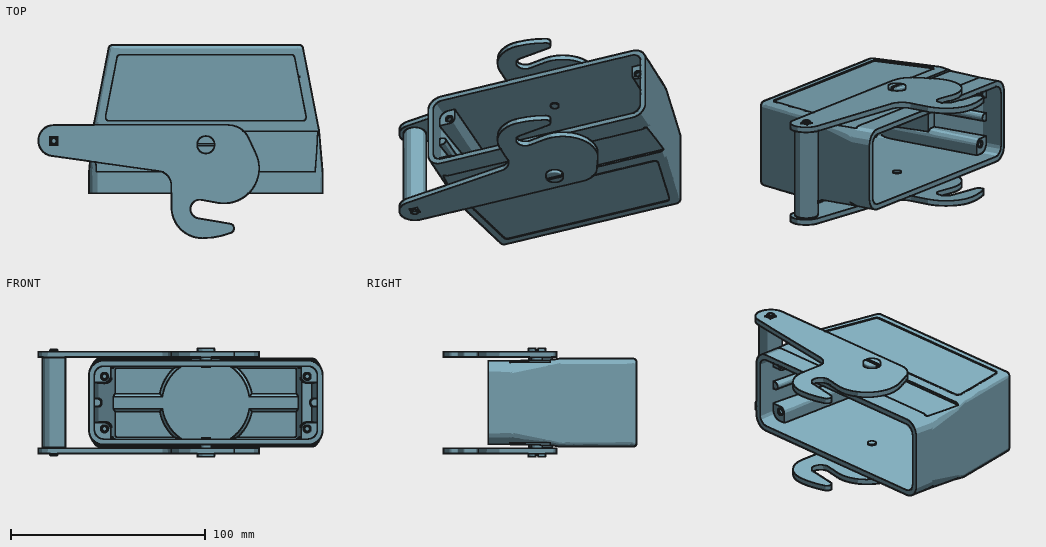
import cadquery as cq
import math


SKIRT_HALF_X = 60.0
SKIRT_HALF_Z = 21.5
SKIRT_CORNER = 7.2
SKIRT_TOP_Y = 11.2
NECK_Y = 32.0
NECK_HALF_X = 58.2
NECK_HALF_Z = 21.85
NECK_CORNER = 3.3
SHOULDER_Y = 36.8
BODY_HALF_Z = 22.65
BODY_CORNER = 2.75
HOOD_HEIGHT = 76.25
END_HALF_X = 49.6
END_FILLET = 2.0
END_WALL_SLOPE = (NECK_HALF_X - END_HALF_X) / (HOOD_HEIGHT - NECK_Y)
SHOULDER_HALF_X = NECK_HALF_X - END_WALL_SLOPE * (SHOULDER_Y - NECK_Y)

RELIEF_TOP_Y = NECK_Y
RELIEF_HALF_Z = 20.7
PAD_WIDTH = 15.0
PAD_BOTTOM_Y = 11.6
PAD_CORNER = 1.7

PANEL_BOTTOM_Y = 37.2
PANEL_TOP_Y = 71.3
PANEL_BOTTOM_HALF_X = 51.9
PANEL_TOP_HALF_X = 45.3
PANEL_CORNER = 2.0
PANEL_DEPTH = 0.5

CAVITY_HALF_X = 57.2
CAVITY_HALF_Z = 18.7
CAVITY_CORNER = 4.8
CAVITY_SHOULDER_HALF_X = 55.0
CAVITY_SHOULDER_CORNER = 3.0
FLOOR_Y = 71.0
FLOOR_HALF_X = 47.5
FLOOR_CORNER = 1.0

RECESS_DEPTH = 2.0
RECESS_HALF_X = 46.5
RECESS_HALF_Z = 17.75
DISC_AND_BAR_DRAFT = 1.6
DISC_RADIUS = 24.1
BAR_WIDTH = 9.3

INNER_END_Y = FLOOR_Y + RECESS_DEPTH
INNER_DRAFT_ANGLE = 0.8

POST_FACE_Y = 9.3
POST_HOLE_X = 52.0
POST_HOLE_Z = 13.45
POST_RADIUS = 3.1
POST_HOLE_DIAMETER = 2.6
POST_HOLE_DEPTH = 12.0
POST_COUNTERSINK_DIAMETER = 3.9
COUNTERSINK_ANGLE = 90.0
RIB_X = 55.8
RIB_RADIUS = 2.0

LEDGE_Y = 40.0
LEDGE_INNER_X = 49.2
LEDGE_DRAFT_ANGLE = 2.0

PIVOT_Y = 25.0
LEVER_INNER_Z = 23.35
LEVER_OUTER_Z = 26.15
HANDLE_X = -78.0
HANDLE_Y = 27.15
HANDLE_RADIUS = 8.0
CAM_X = 9.3
CAM_Y = 12.9
CAM_RADIUS = 18.05
LEVER_SHOULDER_RADIUS = 11.5
LEVER_SHOULDER_X = 11.5
HOOK_EDGE_X = -17.7
ELBOW_RADIUS = 7.5
ELBOW_Y = 4.1
HOOK_BOTTOM_Y = -23.0
HOOK_HEEL_RADIUS = 16.0
HOOK_SOLE_RADIUS = 40.0
TIP_RADIUS = 2.5
TIP_X = 12.0
SLOT_X = -3.1
SLOT_Y = -8.0
SLOT_RADIUS = 4.75

ROLLER_RADIUS = 6.0
ROLLER_CHAMFER = 0.4
PEG_Y = 26.95
PEG_DIAMETER = 4.0
PEG_END_Z = 27.4
PEG_CHAMFER = 0.6
PEG_SOCKET = 4.2

SCREW_HEAD_DIAMETER = 9.0
SCREW_HEAD_Z = 27.9
SCREW_HEAD_FILLET = 0.6
SCREW_SHANK_DIAMETER = 5.6
SCREW_TIP_DIAMETER = 4.3
SCREW_TIP_Z = 18.1
SCREW_SLOT_WIDTH = 1.2
SCREW_SLOT_DEPTH = 1.0

SIDES = (-1, 1)


def rounded_section(half_x, half_z, corner):
    return cq.Sketch().rect(2 * half_x, 2 * half_z).vertices().fillet(corner)


def tapered_block(start_y, start, end_y, end):
    """Straight-sided transition between two rounded rectangles, each (half X, half Z, corner)."""
    far_end = rounded_section(*end).moved(cq.Location(cq.Vector(0, 0, start_y - end_y)))
    plane = cq.Workplane("XZ", origin=(0, start_y, 0))
    return plane.placeSketch(rounded_section(*start), far_end).loft(ruled=True)


def mirrored_in_z(shape):
    return shape.union(shape.mirror("XY"))


def hood_outside():
    skirt = (SKIRT_HALF_X, SKIRT_HALF_Z, SKIRT_CORNER)
    neck = (NECK_HALF_X, NECK_HALF_Z, NECK_CORNER)
    shoulder = (SHOULDER_HALF_X, BODY_HALF_Z, BODY_CORNER)
    closed_end = (END_HALF_X, BODY_HALF_Z, BODY_CORNER)
    body = tapered_block(SHOULDER_Y, shoulder, HOOD_HEIGHT, closed_end)
    body = body.faces(">Y").edges().fillet(END_FILLET)
    body = body.union(tapered_block(NECK_Y, neck, SHOULDER_Y, shoulder))
    body = body.union(tapered_block(SKIRT_TOP_Y, skirt, NECK_Y, neck))
    return body.union(tapered_block(0, skirt, SKIRT_TOP_Y, skirt))


def side_relief():
    """Material removed from the +Z side around the pivot pad."""
    plane = cq.Workplane("XY", origin=(0, 0, RELIEF_HALF_Z))
    height = BODY_HALF_Z - RELIEF_HALF_Z
    relief_length = RELIEF_TOP_Y - SKIRT_TOP_Y
    relief = plane.center(0, SKIRT_TOP_Y + relief_length / 2).rect(2 * SKIRT_HALF_X, relief_length)
    relief = relief.extrude(height)
    pad_length = SHOULDER_Y - PAD_BOTTOM_Y
    pad = plane.center(0, PAD_BOTTOM_Y + pad_length / 2).rect(PAD_WIDTH, pad_length).extrude(height)
    pad = pad.edges("|Z and <Y").fillet(PAD_CORNER)
    return relief.cut(pad)


def label_panel():
    corners = [
        (-PANEL_BOTTOM_HALF_X, PANEL_BOTTOM_Y),
        (PANEL_BOTTOM_HALF_X, PANEL_BOTTOM_Y),
        (PANEL_TOP_HALF_X, PANEL_TOP_Y),
        (-PANEL_TOP_HALF_X, PANEL_TOP_Y),
    ]
    plane = cq.Workplane("XY", origin=(0, 0, BODY_HALF_Z))
    panel = plane.polyline(corners).close().extrude(-PANEL_DEPTH)
    return panel.edges("|Z").fillet(PANEL_CORNER)


def cavity():
    mouth = (CAVITY_HALF_X, CAVITY_HALF_Z, CAVITY_CORNER)
    shoulder = (CAVITY_SHOULDER_HALF_X, CAVITY_HALF_Z, CAVITY_SHOULDER_CORNER)
    floor = (FLOOR_HALF_X, CAVITY_HALF_Z, FLOOR_CORNER)
    space = tapered_block(0, mouth, SKIRT_TOP_Y, mouth)
    space = space.union(tapered_block(SKIRT_TOP_Y, mouth, SHOULDER_Y, shoulder))
    return space.union(tapered_block(SHOULDER_Y, shoulder, FLOOR_Y, floor))


def floor_recesses():
    bottom_y = FLOOR_Y + RECESS_DEPTH
    rim = (FLOOR_HALF_X, CAVITY_HALF_Z, FLOOR_CORNER)
    bottom = (RECESS_HALF_X, RECESS_HALF_Z, FLOOR_CORNER)
    recess = tapered_block(FLOOR_Y, rim, bottom_y, bottom)
    plane = cq.Workplane("XZ", origin=(0, bottom_y, 0))
    taper = math.degrees(math.atan(DISC_AND_BAR_DRAFT / RECESS_DEPTH))
    disc = plane.circle(DISC_RADIUS).extrude(RECESS_DEPTH, taper=taper)
    bar = plane.rect(2 * CAVITY_HALF_X, BAR_WIDTH).extrude(RECESS_DEPTH, taper=taper)
    return recess.cut(disc).cut(bar)


def screw_post():
    """Corner post at (+X, +Z), widening inwards; its outer sides lie beyond the cavity walls."""
    inner_x = POST_HOLE_X - POST_RADIUS
    inner_z = POST_HOLE_Z - POST_RADIUS
    profile = (
        cq.Workplane("XZ", origin=(0, POST_FACE_Y, 0))
        .moveTo(SKIRT_HALF_X, inner_z)
        .lineTo(POST_HOLE_X, inner_z)
        .radiusArc((inner_x, POST_HOLE_Z), POST_RADIUS)
        .lineTo(inner_x, SKIRT_HALF_Z)
        .lineTo(SKIRT_HALF_X, SKIRT_HALF_Z)
        .close()
    )
    return profile.extrude(POST_FACE_Y - INNER_END_Y, taper=-INNER_DRAFT_ANGLE)


def end_rib():
    """Half-round rib on the +X end wall, continued down to the floor."""
    height = INNER_END_Y - POST_FACE_Y
    plane = cq.Workplane("XZ", origin=(RIB_X, POST_FACE_Y, 0))
    round_front = plane.circle(RIB_RADIUS).extrude(-height, taper=-INNER_DRAFT_ANGLE)
    web = plane.center(RIB_RADIUS, 0).rect(2 * RIB_RADIUS, 2 * RIB_RADIUS)
    return round_front.union(web.extrude(-height, taper=-INNER_DRAFT_ANGLE))


def end_ledge():
    width = SKIRT_HALF_X - LEDGE_INNER_X
    plane = cq.Workplane("XZ", origin=(LEDGE_INNER_X + width / 2, LEDGE_Y, 0))
    return plane.rect(width, 2 * SKIRT_HALF_Z).extrude(LEDGE_Y - INNER_END_Y, taper=-LEDGE_DRAFT_ANGLE)


def post_holes():
    points = [(x * POST_HOLE_X, z * POST_HOLE_Z) for x in SIDES for z in SIDES]
    plane = cq.Workplane("XZ", origin=(0, POST_FACE_Y, 0)).pushPoints(points)
    holes = plane.circle(POST_HOLE_DIAMETER / 2).extrude(-POST_HOLE_DEPTH)
    sink_depth = (POST_COUNTERSINK_DIAMETER - POST_HOLE_DIAMETER) / 2
    sinks = plane.circle(POST_COUNTERSINK_DIAMETER / 2).extrude(-sink_depth, taper=COUNTERSINK_ANGLE / 2)
    return holes.union(sinks)


def hood():
    posts = mirrored_in_z(screw_post())
    end_features = posts.union(end_rib())
    end_features = end_features.union(end_features.mirror("YZ")).union(end_ledge())
    space = cavity().union(floor_recesses()).cut(end_features)
    body = hood_outside().cut(space).cut(post_holes())
    return body.cut(mirrored_in_z(side_relief().union(label_panel())))


def on_circle(center, radius, angle):
    return (center[0] + radius * math.cos(angle), center[1] + radius * math.sin(angle))


def tangent_normal(first, second, offset, side):
    """Angle of the normal to a tangent line, on the given side (1 left, -1 right) of first to second."""
    dx = second[0] - first[0]
    dy = second[1] - first[1]
    return math.atan2(dy, dx) + side * math.acos(offset / math.hypot(dx, dy))


def outer_tangent(first, first_radius, second, second_radius):
    """Ends of the tangent line running along the left of both circles."""
    angle = tangent_normal(first, second, first_radius - second_radius, 1)
    return on_circle(first, first_radius, angle), on_circle(second, second_radius, angle)


def cross_tangent(first, first_radius, second, second_radius, side):
    """Ends of the tangent line that leaves one side of the first circle for the other side of the second."""
    angle = tangent_normal(first, second, first_radius + second_radius, side)
    return on_circle(first, first_radius, angle), on_circle(second, second_radius, angle + math.pi)


def arc_to(path, center, radius, start, end, turn):
    """Adds an arc from start to end about center, turning counterclockwise (1) or clockwise (-1)."""
    start_angle = math.atan2(start[1] - center[1], start[0] - center[0])
    end_angle = math.atan2(end[1] - center[1], end[0] - center[0])
    sweep = turn * ((turn * (end_angle - start_angle)) % (2 * math.pi))
    return path.threePointArc(on_circle(center, radius, start_angle + sweep / 2), end)


def lever_outline():
    """Clockwise outline: straight top edge, rounded shoulder, cam, hook slot, hook, elbow and handle end."""
    handle = (HANDLE_X, HANDLE_Y)
    cam = (CAM_X, CAM_Y)
    slot = (SLOT_X, SLOT_Y)
    elbow = (HOOK_EDGE_X - ELBOW_RADIUS, ELBOW_Y)
    top_y = HANDLE_Y + HANDLE_RADIUS
    shoulder = (LEVER_SHOULDER_X, top_y - LEVER_SHOULDER_RADIUS)

    heel = (HOOK_EDGE_X + HOOK_HEEL_RADIUS, HOOK_BOTTOM_Y + HOOK_HEEL_RADIUS)
    hook_bottom = (heel[0], HOOK_BOTTOM_Y)
    sole = (heel[0], HOOK_BOTTOM_Y + HOOK_SOLE_RADIUS)
    sole_angle = -math.acos((TIP_X - sole[0]) / (HOOK_SOLE_RADIUS - TIP_RADIUS))
    tip = on_circle(sole, HOOK_SOLE_RADIUS - TIP_RADIUS, sole_angle)
    sole_end = on_circle(sole, HOOK_SOLE_RADIUS, sole_angle)

    top_start = (HANDLE_X, top_y)
    top_end = (LEVER_SHOULDER_X, top_y)
    shoulder_end, cam_start = outer_tangent(shoulder, LEVER_SHOULDER_RADIUS, cam, CAM_RADIUS)
    cam_end, slot_start = cross_tangent(cam, CAM_RADIUS, slot, SLOT_RADIUS, 1)
    slot_end, tip_start = cross_tangent(slot, SLOT_RADIUS, tip, TIP_RADIUS, -1)
    heel_end = (HOOK_EDGE_X, heel[1])
    elbow_start = (HOOK_EDGE_X, ELBOW_Y)
    elbow_end, handle_start = cross_tangent(elbow, ELBOW_RADIUS, handle, HANDLE_RADIUS, -1)

    path = cq.Workplane("XY", origin=(0, 0, LEVER_INNER_Z)).moveTo(*top_start).lineTo(*top_end)
    path = arc_to(path, shoulder, LEVER_SHOULDER_RADIUS, top_end, shoulder_end, -1).lineTo(*cam_start)
    path = arc_to(path, cam, CAM_RADIUS, cam_start, cam_end, -1).lineTo(*slot_start)
    path = arc_to(path, slot, SLOT_RADIUS, slot_start, slot_end, 1).lineTo(*tip_start)
    path = arc_to(path, tip, TIP_RADIUS, tip_start, sole_end, -1)
    path = arc_to(path, sole, HOOK_SOLE_RADIUS, sole_end, hook_bottom, -1)
    path = arc_to(path, heel, HOOK_HEEL_RADIUS, hook_bottom, heel_end, -1).lineTo(*elbow_start)
    path = arc_to(path, elbow, ELBOW_RADIUS, elbow_start, elbow_end, 1).lineTo(*handle_start)
    return arc_to(path, handle, HANDLE_RADIUS, handle_start, top_start, -1).close()


def lever_plate():
    thickness = LEVER_OUTER_Z - LEVER_INNER_Z
    plate = lever_outline().extrude(thickness)
    socket = cq.Workplane("XY", origin=(HANDLE_X, PEG_Y, LEVER_INNER_Z)).rect(PEG_SOCKET, PEG_SOCKET)
    return plate.cut(socket.extrude(thickness))


def handle_roller():
    """Roller between the two lever plates, with a peg riveted through each of them."""
    roller = cq.Workplane("XY", origin=(HANDLE_X, PEG_Y, -LEVER_INNER_Z)).circle(ROLLER_RADIUS)
    roller = roller.extrude(2 * LEVER_INNER_Z).faces("<Z or >Z").chamfer(ROLLER_CHAMFER)
    peg = cq.Workplane("XY", origin=(HANDLE_X, PEG_Y, -PEG_END_Z)).circle(PEG_DIAMETER / 2)
    peg = peg.extrude(2 * PEG_END_Z).faces("<Z or >Z").chamfer(PEG_CHAMFER)
    return roller.union(peg)


def pivot_screw():
    plane = cq.Workplane("XY", origin=(0, PIVOT_Y, 0))
    head = plane.workplane(offset=LEVER_OUTER_Z).circle(SCREW_HEAD_DIAMETER / 2)
    head = head.extrude(SCREW_HEAD_Z - LEVER_OUTER_Z).faces(">Z").edges().fillet(SCREW_HEAD_FILLET)
    slot = plane.workplane(offset=SCREW_HEAD_Z).rect(SCREW_HEAD_DIAMETER, SCREW_SLOT_WIDTH)
    head = head.cut(slot.extrude(-SCREW_SLOT_DEPTH))
    shank = plane.workplane(offset=RELIEF_HALF_Z).circle(SCREW_SHANK_DIAMETER / 2)
    shank = shank.extrude(LEVER_OUTER_Z - RELIEF_HALF_Z)
    tip = plane.workplane(offset=SCREW_TIP_Z).circle(SCREW_TIP_DIAMETER / 2)
    return head.union(shank).union(tip.extrude(LEVER_INNER_Z - SCREW_TIP_Z))


lever = mirrored_in_z(lever_plate().union(pivot_screw())).union(handle_roller())
result = hood().union(lever)